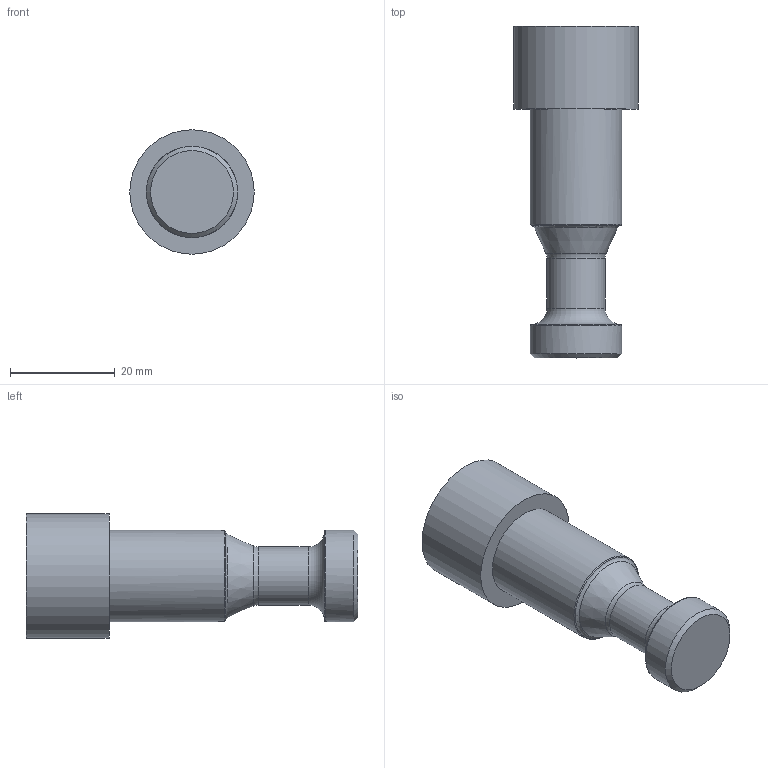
import cadquery as cq
import math

overall_length = 63.5
collar_radius = 23.8125 / 2
collar_length = 15.875
shank_radius = 17.4625 / 2
neck_radius = 11.1125 / 2

tip_head_length = 6.35
neck_end_distance = 19.05
shoulder_distance = 25.4

tip_chamfer = 0.8
cone_angle = math.radians(24)
neck_blend_radius = 2.38
edge_round = 0.2

tip_y = -overall_length / 2
rear_y = overall_length / 2
collar_y = rear_y - collar_length
head_y = tip_y + tip_head_length
neck_end_y = tip_y + neck_end_distance
shoulder_y = tip_y + shoulder_distance

head_fillet = shank_radius - neck_radius

cone_small_radius = neck_radius + neck_blend_radius * (1 - math.cos(cone_angle))
cone_small_y = neck_end_y + neck_blend_radius * math.sin(cone_angle)

corner_radius = cone_small_radius + (shoulder_y - cone_small_y) * math.tan(cone_angle)
shoulder_blend_length = shank_radius - corner_radius
cone_large_radius = corner_radius - shoulder_blend_length * math.sin(cone_angle)
cone_large_y = shoulder_y - shoulder_blend_length * math.cos(cone_angle)
shoulder_blend_radius = shoulder_blend_length / math.tan((math.pi / 2 - cone_angle) / 2)


def turned_body():
    """Revolve the half profile, drawn as (radius, y), about the Y axis."""
    profile = (
        cq.Workplane("XY")
        .moveTo(0, rear_y)
        .lineTo(collar_radius, rear_y)
        .lineTo(collar_radius, collar_y)
        .lineTo(shank_radius, collar_y)
        .lineTo(shank_radius, shoulder_y)
        .radiusArc((cone_large_radius, cone_large_y), -shoulder_blend_radius)
        .lineTo(cone_small_radius, cone_small_y)
        .tangentArcPoint((neck_radius, neck_end_y), relative=False)
        .lineTo(neck_radius, head_y + head_fillet)
        .tangentArcPoint((shank_radius, head_y), relative=False)
        .lineTo(shank_radius, tip_y + tip_chamfer)
        .lineTo(shank_radius - tip_chamfer, tip_y)
        .lineTo(0, tip_y)
        .close()
    )
    return profile.revolve(360, (0, 0, 0), (0, 1, 0))


def ring_edge(y):
    """Selector for the circular edge lying at the given Y."""
    reach = 2 * collar_radius
    margin = 0.01
    low_corner = (-reach, y - margin, -reach)
    high_corner = (reach, y + margin, reach)
    return cq.selectors.BoxSelector(low_corner, high_corner, boundingbox=True)


def round_groove_edges(body):
    """Break the two outer edges of the groove."""
    for y in (head_y, shoulder_y):
        body = body.edges(ring_edge(y)).fillet(edge_round)
    return body


result = round_groove_edges(turned_body())